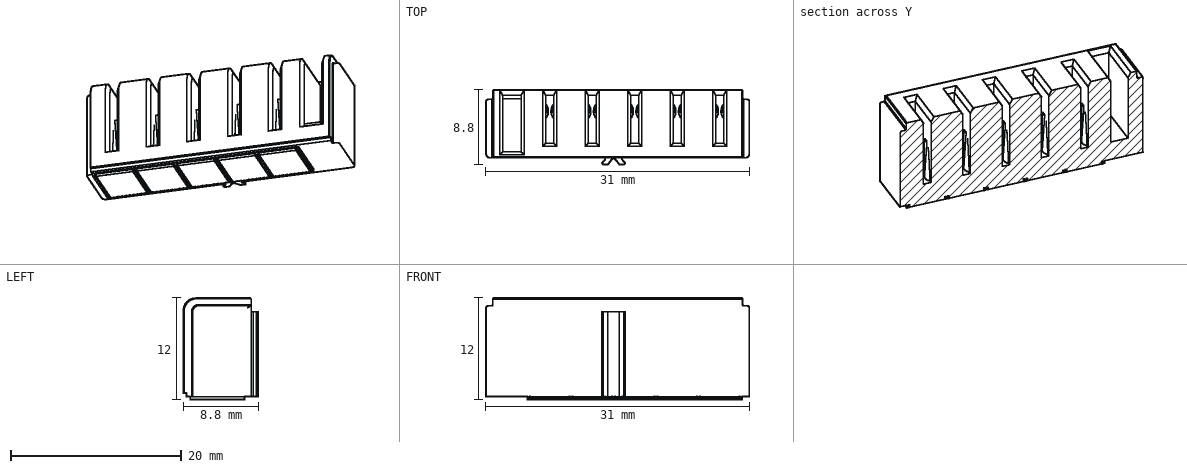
import cadquery as cq

body_length = 29.4
body_depth = 8.0
body_height = 11.6
back_y = body_depth / 2
front_y = -back_y
back_top_radius = 1.5
front_top_chamfer = 0.15
end_face_chamfer = 0.1
heel_step_depth = 0.35
heel_step_height = 0.42

overall_length = 31.0
cap_height = 10.7
cap_back_inset = 1.1
cap_corner_radius = 0.7
cap_edge_radius = 0.3
cap_front_radius = 0.5

slot_pitch = 5.0
slot_count = 5
first_slot_x = -8.0
slot_xs = [first_slot_x + i * slot_pitch for i in range(slot_count)]
slot_width = 1.65
slot_front_y = -2.63

pocket_x = -12.45
pocket_width = 2.9
pocket_front_y = -3.65

mouth_inset = 0.37
mouth_depth = 0.65
floor_z = 2.5

lip_front_y = 2.97
lip_height = 0.28

bump_y = 1.48
bump_split = -0.18
bump_radius = 1.2
bump_reach = 0.31
bump_height = 5.0
bump_tip_radius = bump_radius - bump_reach

pad_width = 4.5
pad_depth = 6.4
pad_height = 0.35
pad_chamfer = 0.2
rib_width = 0.25
rib_xs = [first_slot_x + (i - 0.5) * slot_pitch for i in range(slot_count + 1)]

key_x = -0.48
key_height = 10.0
key_depth = 0.8
key_root = 1.0
key_neck = 0.2
key_reach = 1.38
key_tip_land = 0.2
key_tip_outer = 1.22
key_tip_inner = 0.68
key_valley_half_width = 0.26
key_valley_shoulder = 0.25
key_valley_depth = 0.1


def block(x_range, y_range, z_range):
    """Box given by its limits along each axis."""
    sizes = [high - low for low, high in (x_range, y_range, z_range)]
    corner = (x_range[0], y_range[0], z_range[0])
    return cq.Workplane("XY").box(*sizes, centered=False).translate(corner)


def make_body():
    """Housing block with a rounded back top edge."""
    body = block(
        (-body_length / 2, body_length / 2), (front_y, back_y), (0, body_height)
    )
    body = body.edges(">Y and >Z").fillet(back_top_radius)
    body = body.edges("<Y and >Z").chamfer(front_top_chamfer)
    return body


def make_heel():
    """Cutter for the step along the bottom back edge."""
    return block(
        (-body_length / 2, body_length / 2),
        (back_y - heel_step_depth, back_y),
        (0, heel_step_height),
    )


def make_caps():
    """Single bar through the housing whose two ends form the end caps."""
    half = overall_length / 2
    bar = block((-half, half), (front_y, back_y - cap_back_inset), (0, cap_height))
    bar = bar.edges(">Y and >Z").fillet(cap_corner_radius)
    rounded_front = bar.faces("<X or >X").edges("<Y").fillet(cap_front_radius)
    rounded_rim = bar.faces("<X or >X").edges("not(<Y or <Z)").fillet(cap_edge_radius)
    return rounded_rim.intersect(rounded_front)


def make_shell():
    """Housing with its caps and heel; the end faces are bevelled at rim and cap root."""
    shell = make_body().union(make_caps())
    near_end = body_length / 2 - end_face_chamfer / 2
    far_end = body_length / 2 + end_face_chamfer / 2
    for low, high in ((-far_end, -near_end), (near_end, far_end)):
        end_edges = cq.selectors.BoxSelector(
            (low, front_y + end_face_chamfer, end_face_chamfer),
            (high, 2 * back_y, 2 * body_height),
        )
        shell = shell.edges(end_edges).chamfer(end_face_chamfer)
    return shell.cut(make_heel())


def make_frustum(plane, outer, inner):
    """Loft between two rectangles, each given as (width, low, high, offset)."""
    wires = []
    for width, low, high, offset in (outer, inner):
        outline = plane.workplane(offset=offset).center(0, (low + high) / 2)
        wires.append(outline.rect(width, high - low).val())
    return cq.Workplane(cq.Solid.makeLoft(wires, True))


def make_opening(x, width, mouth_front_y):
    """Cutter for a bevelled opening that wraps over the rounded back edge."""
    inner_width = width - 2 * mouth_inset
    bend_y = back_y - back_top_radius
    bend_z = body_height - back_top_radius
    inner_front_y = mouth_front_y + mouth_inset

    top_mouth = make_frustum(
        cq.Workplane("XY"),
        (width, mouth_front_y, bend_y, body_height),
        (inner_width, inner_front_y, bend_y, body_height - mouth_depth),
    )
    back_mouth = make_frustum(
        cq.Workplane("XZ"),
        (width, floor_z - mouth_inset, bend_z, -back_y),
        (inner_width, floor_z, bend_z, -(back_y - mouth_depth)),
    )
    inner_radius = back_top_radius - mouth_depth
    bend_mouth = (
        cq.Workplane("XZ", origin=(0, bend_y, bend_z))
        .moveTo(-width / 2, back_top_radius)
        .lineTo(width / 2, back_top_radius)
        .lineTo(inner_width / 2, inner_radius)
        .lineTo(-inner_width / 2, inner_radius)
        .close()
        .revolve(90, (0, 0, 0), (-1, 0, 0))
    )
    throat = block(
        (-inner_width / 2, inner_width / 2),
        (inner_front_y, back_y),
        (floor_z, body_height),
    )
    throat = throat.edges(">Y and >Z").fillet(back_top_radius)
    return throat.union(top_mouth).union(back_mouth).union(bend_mouth).translate((x, 0, 0))


def make_pocket_lip():
    """Step along the back of the pocket floor with a concave foot."""
    return (
        cq.Workplane("YZ")
        .moveTo(lip_front_y - lip_height, floor_z)
        .radiusArc((lip_front_y, floor_z + lip_height), -lip_height)
        .lineTo(back_y - mouth_depth, floor_z + lip_height)
        .lineTo(back_y - mouth_depth, floor_z)
        .close()
        .extrude(pocket_width / 2 - mouth_inset, both=True)
        .translate((pocket_x, 0, 0))
    )


def make_bumps(x):
    """Facing wall bumps: flat-topped at the front, conical at the back."""
    half_gap = slot_width / 2 - mouth_inset
    column = cq.Workplane("XY").circle(bump_radius).extrude(bump_height)
    cone = cq.Workplane(cq.Solid.makeCone(bump_radius, bump_tip_radius, bump_height))
    reach = (-bump_radius, bump_radius)
    front_half = column.intersect(block(reach, (-bump_radius, bump_split), (0, bump_height)))
    back_half = cone.intersect(block(reach, (bump_split, bump_radius), (0, bump_height)))
    bump = front_half.union(back_half)
    gap = block(
        (x - half_gap, x + half_gap),
        (bump_y - bump_radius, bump_y + bump_radius),
        (floor_z, floor_z + bump_height),
    )
    centre_offset = half_gap + bump_radius - bump_reach
    left = bump.translate((x - centre_offset, bump_y, floor_z))
    right = bump.translate((x + centre_offset, bump_y, floor_z))
    return left.union(right).intersect(gap)


def make_pad(x):
    """Pad on the underside, centred below a slot, with bevelled front and back edges."""
    half_width = pad_width / 2
    half_depth = pad_depth / 2
    pad = block(
        (x - half_width, x + half_width), (-half_depth, half_depth), (-pad_height, 0)
    )
    return pad.faces("<Z").edges("|X").chamfer(pad_chamfer)


def make_rib(x):
    """Thin rib on the underside, midway between two slots."""
    half_depth = pad_depth / 2
    return block(
        (x - rib_width / 2, x + rib_width / 2), (-half_depth, half_depth), (-pad_height, 0)
    )


def make_key():
    """Full-depth key profile, symmetric about its own centre line."""
    tip_y = front_y - key_depth
    leg = [
        (key_root, front_y),
        (key_root, front_y - key_neck),
        (key_reach, tip_y + key_tip_land),
        (key_tip_outer, tip_y),
        (key_tip_inner, tip_y),
        (key_valley_half_width, front_y - key_valley_shoulder),
    ]
    left_leg = [(-x, y) for x, y in leg]
    valley_floor = (0, front_y - key_valley_depth)
    profile = cq.Workplane("XY").polyline(left_leg).threePointArc(valley_floor, leg[-1])
    for point in leg[-2::-1]:
        profile = profile.lineTo(*point)
    return profile.close().extrude(key_height).translate((key_x, 0, 0))


result = make_shell()
result = result.cut(make_opening(pocket_x, pocket_width, pocket_front_y))
result = result.union(make_pocket_lip())
for slot_x in slot_xs:
    result = result.cut(make_opening(slot_x, slot_width, slot_front_y))
    result = result.union(make_bumps(slot_x))
    result = result.union(make_pad(slot_x))
for rib_x in rib_xs:
    result = result.union(make_rib(rib_x))
result = result.union(make_key())